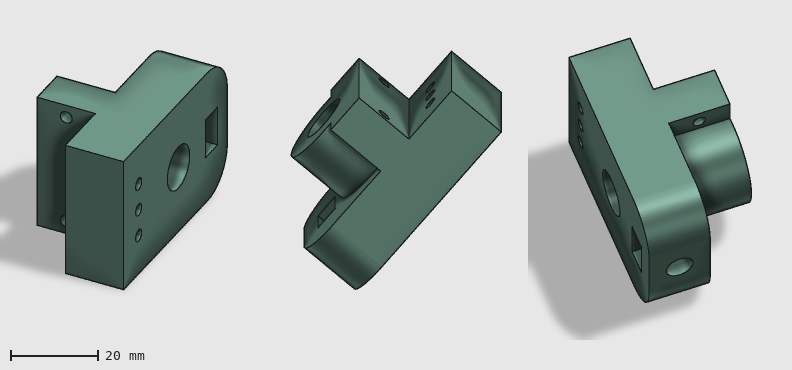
import cadquery as cq

length = 52.0
height = 35.0
depth = 30.0
plate_thickness = depth / 2
corner_radius = 10.0

arm_start = 15.05
arm_width = 10.0
arm_end = arm_start + arm_width
arm_depth = depth - plate_thickness
boss_y = 27.5
boss_radius = 11.5
bore_diameter = 11.25

window_y = 44.05
window_width = 6.05
window_height = 10.3

screw_diameter = 3.0
plate_screw_y = arm_start / 2
plate_screw_pitch = 7.0
arm_screw_pitch = 28.45

clamp_screw_diameter = 6.5

mid_z = height / 2


def box(x, y, z, size_x, size_y, size_z):
    """Box with its lowest corner at (x, y, z)."""
    return cq.Workplane("XY").box(size_x, size_y, size_z, centered=False).translate((x, y, z))


def rod_along_x(y, z, diameter, rod_length):
    """Cylinder starting at x = 0 and running toward +X."""
    return cq.Workplane("YZ").center(y, z).circle(diameter / 2).extrude(rod_length)


def rod_along_y(x, z, diameter, start_y, end_y):
    """Cylinder running along Y from start_y to end_y."""
    base = cq.Workplane("XZ", origin=(x, start_y, z))
    return base.circle(diameter / 2).extrude(start_y - end_y)


def make_plate():
    plate = box(arm_depth, 0, 0, plate_thickness, length, height)
    return plate.edges("|X and >Y").fillet(corner_radius)


def make_arm():
    block = box(0, arm_start, 0, arm_depth, arm_width, height)
    boss = rod_along_x(boss_y, mid_z, 2 * boss_radius, arm_depth)
    neck = box(0, arm_end, mid_z - boss_radius, arm_depth, boss_y - arm_end, 2 * boss_radius)
    return block.union(neck).union(boss)


result = make_plate().union(make_arm())

result = result.cut(rod_along_x(boss_y, mid_z, bore_diameter, depth))
window = box(
    arm_depth, window_y - window_width / 2, mid_z - window_height / 2,
    plate_thickness, window_width, window_height,
)
result = result.cut(window)

for step in (-1, 0, 1):
    result = result.cut(rod_along_x(plate_screw_y, mid_z + step * plate_screw_pitch, screw_diameter, depth))

for side in (-1, 1):
    screw_z = mid_z + side * arm_screw_pitch / 2
    result = result.cut(rod_along_y(arm_depth / 2, screw_z, screw_diameter, 0, length))

clamp_x = arm_depth + plate_thickness / 2
result = result.cut(rod_along_y(clamp_x, mid_z, clamp_screw_diameter, boss_y, length))